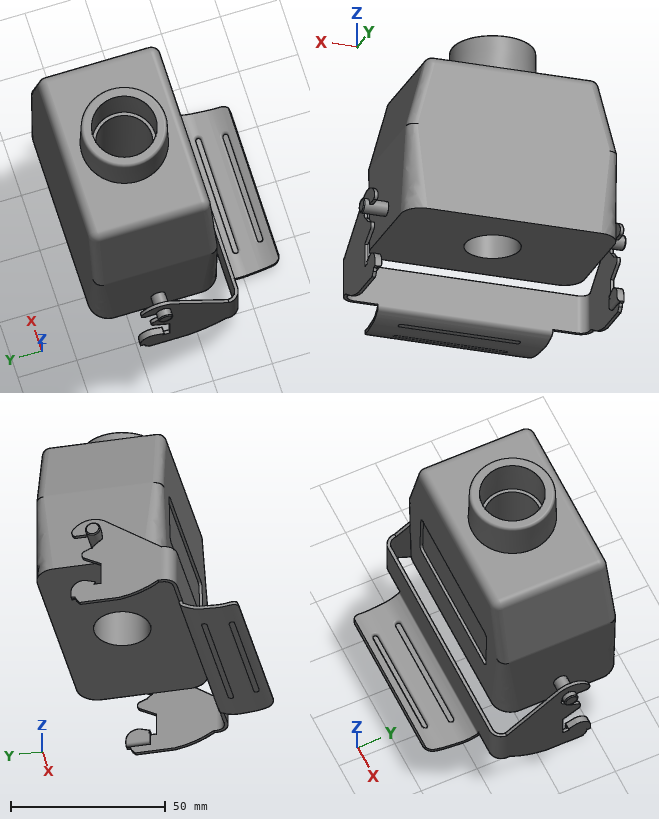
import cadquery as cq
import math

rim_length = 73.3
rim_width = 43.2
shoulder_length = 72.0
shoulder_z = 29.9
roof_z = 55.2
roof_length = 58.5
side_draft = 0.0202
rim_corner_radius = 6.8
edge_radius = 3.0

neck_top_z = 68.9
neck_base_radius = 14.3
neck_top_radius = 13.95
neck_round = 1.0
bore_top_radius = 10.6
bore_bottom_radius = 10.4
bore_depth = neck_top_z - roof_z
through_radius = 9.3

label_length = 50.0
label_height = 18.1
label_z = 23.4
label_depth = 1.0
label_corner_radius = 1.7

pin_length = 90.0
pin_radius = 2.4
pin_chamfer = 0.4
pin_z = 7.9

sheet = 1.2
lever_shift = 0.4
lever_length = 85.4
bend_radius = 4.2
strap_y = -26.5
strap_top_z = -1.0
strap_bottom_z = -14.2
arm_front_y = strap_y + bend_radius
arm_bottom_z = -19.1
throat_y = -2.2
throat_top_z = -4.6
throat_bottom_z = -12.5
upper_hook_mouth_z = 7.65
lower_hook_nose_y = 7.7
hook_lip_y = -0.3
hook_lip_z = -16.4
hook_lip_round = 0.9
hook_lip_height = 9.0
hook_lip_reach = 10.8

handle_root_length = 59.9
handle_tip_length = 56.9
handle_tip_y = -44.4
handle_corner_radius = 3.0
handle_floor_z = -16.8
root_arc_start_y = -28.0
floor_start_y = -32.6
floor_end_y = -37.0
root_arc_radius = 10.3
root_bend_radius = 0.7
tip_arc_radius = 18.0

groove_slot_width = 1.8
groove_depth = 0.9
groove_rim_radius = 0.8
root_groove_y = -31.6
root_groove_length = 41.8
tip_groove_y = -40.1
tip_groove_length = 39.1


def hood_width(z):
    return rim_width - 2 * side_draft * z


def lower_hood():
    """Drafted skirt whose corner radius shrinks from the rim to the shoulder."""
    rim = cq.Sketch().rect(rim_length, rim_width).vertices().fillet(rim_corner_radius)
    shoulder = cq.Sketch().rect(shoulder_length, hood_width(shoulder_z)).vertices().fillet(edge_radius)
    top = shoulder.moved(cq.Location(cq.Vector(0, 0, shoulder_z)))
    return cq.Workplane("XY").placeSketch(rim, top).loft(ruled=True)


def upper_hood():
    """Wedge-shaped top with its sloping and roof edges rounded."""
    wedge = (
        cq.Workplane("XY", origin=(0, 0, shoulder_z))
        .rect(shoulder_length, hood_width(shoulder_z))
        .workplane(offset=roof_z - shoulder_z)
        .rect(roof_length, hood_width(roof_z))
        .loft(ruled=True)
    )
    return wedge.edges("not(<Z)").fillet(edge_radius)


def neck():
    height = neck_top_z - roof_z
    return (
        cq.Workplane("XY", origin=(0, 0, roof_z))
        .circle(neck_base_radius)
        .workplane(offset=height)
        .circle(neck_top_radius)
        .loft()
        .faces(">Z")
        .edges()
        .fillet(neck_round)
    )


def cable_bore():
    """Tapered entry bore ending on a ledge, then a straight hole down through the rim."""
    entry = (
        cq.Workplane("XY", origin=(0, 0, neck_top_z))
        .circle(bore_top_radius)
        .workplane(offset=-bore_depth)
        .circle(bore_bottom_radius)
        .loft()
    )
    through = cq.Workplane("XY").circle(through_radius).extrude(neck_top_z)
    return entry.union(through)


def label_recess():
    """Shallow rounded pocket whose floor is parallel to the leaning face."""
    lean = math.atan(side_draft)
    face_plane = cq.Plane(
        origin=(0, -hood_width(label_z) / 2, label_z),
        xDir=(1, 0, 0),
        normal=(0, -math.cos(lean), math.sin(lean)),
    )
    outline = cq.Sketch().rect(label_length, label_height).vertices().fillet(label_corner_radius)
    floor = cq.Workplane(face_plane).workplane(offset=-label_depth)
    return floor.placeSketch(outline).extrude(2 * label_depth)


def pins():
    bar = cq.Workplane("YZ", origin=(-pin_length / 2, 0, pin_z)).circle(pin_radius).extrude(pin_length)
    return bar.faces("<X or >X").chamfer(pin_chamfer)


def strap():
    """U-shaped band: front wall and its two rounded corners."""
    outer = (
        cq.Workplane("XY", origin=(0, 0, strap_bottom_z))
        .rect(lever_length, -2 * strap_y)
        .extrude(strap_top_z - strap_bottom_z)
        .edges("|Z")
        .fillet(bend_radius)
    )
    inner = (
        cq.Workplane("XY", origin=(0, 0, strap_bottom_z))
        .rect(lever_length - 2 * sheet, -2 * (strap_y + sheet))
        .extrude(strap_top_z - strap_bottom_z)
        .edges("|Z")
        .fillet(bend_radius - sheet)
    )
    keep = (
        cq.Workplane("XY", origin=(0, strap_y, strap_bottom_z))
        .box(lever_length, bend_radius, strap_top_z - strap_bottom_z, centered=(True, False, False))
    )
    return outer.cut(inner).intersect(keep)


def arm_blank(thickness):
    """Side profile of an arm in (Y, Z), with its inner face at X = 0, extruded outward."""
    return (
        cq.Workplane("YZ")
        .moveTo(arm_front_y, strap_top_z)
        .lineTo(-3.2, 12.4)
        .threePointArc((0.8, 13.5), (7.2, 10.1))
        .threePointArc((7.4, 8.55), (6.5, upper_hook_mouth_z))
        .lineTo(pin_radius, upper_hook_mouth_z)
        .threePointArc((0, pin_z + pin_radius), (-pin_radius, pin_z))
        .lineTo(-2.7, 5.8)
        .threePointArc((-2.4, 5.0), (-1.6, 4.5))
        .lineTo(0.9, 2.2)
        .lineTo(3.3, 1.1)
        .threePointArc((4.1, -0.1), (3.2, -1.6))
        .lineTo(throat_y, throat_top_z)
        .lineTo(throat_y, throat_bottom_z)
        .lineTo(0.1, throat_bottom_z)
        .lineTo(hook_lip_y, -11.6)
        .lineTo(3.1, -10.5)
        .threePointArc((6.7, -11.8), (lower_hook_nose_y, -14.6))
        .lineTo(lower_hook_nose_y, hook_lip_z)
        .lineTo(6.5, -16.6)
        .lineTo(6.0, -17.7)
        .lineTo(4.9, arm_bottom_z)
        .lineTo(-8.3, arm_bottom_z)
        .threePointArc((-14.5, -17.55), (-21.15, strap_bottom_z))
        .lineTo(arm_front_y, strap_bottom_z)
        .close()
        .extrude(thickness)
    )


def arm():
    """Arm on the +X side with the inner thickening of its lower hook."""
    plate = arm_blank(sheet)
    lip_zone = (
        cq.Workplane("XY", origin=(0, hook_lip_y, hook_lip_z))
        .box(2 * sheet, hook_lip_reach, hook_lip_height, centered=(True, False, False))
        .edges("<X and <Z")
        .fillet(hook_lip_round)
    )
    lip = arm_blank(2 * sheet).translate((-sheet, 0, 0)).intersect(lip_zone)
    return plate.union(lip).translate((lever_length / 2 - sheet, 0, 0))


def on_arc(centre, radius, sine):
    """Point below an arc centre, at the given sine of the angle from straight down (+ toward +Y)."""
    return (centre[0] + radius * sine, centre[1] - radius * math.sqrt(1 - sine**2))


root_centre = (floor_start_y, handle_floor_z + root_arc_radius)
tip_centre = (floor_end_y, handle_floor_z + tip_arc_radius)
root_sine = (root_arc_start_y - floor_start_y) / root_arc_radius
tip_sine = (handle_tip_y - floor_end_y) / (tip_arc_radius + sheet)


def root_corner(radius, y):
    """Corner where the tangent at the start of the root arc meets the vertical strap face at y."""
    start_y, start_z = on_arc(root_centre, radius, root_sine)
    slope = math.tan(math.asin(root_sine))
    return (y, start_z + slope * (y - start_y))


def handle_sheet():
    """Curved sheet profile, trimmed to the tapered plan outline."""
    under_root = root_arc_radius + sheet
    under_tip = tip_arc_radius + sheet
    upper_corner = root_corner(root_arc_radius, strap_y)
    under_corner = root_corner(under_root, strap_y + sheet)
    profile = (
        cq.Workplane("YZ", origin=(-handle_root_length / 2, 0, 0))
        .moveTo(strap_y, strap_bottom_z)
        .lineTo(*upper_corner)
        .lineTo(*on_arc(root_centre, root_arc_radius, root_sine))
        .threePointArc(
            on_arc(root_centre, root_arc_radius, root_sine / 2), on_arc(root_centre, root_arc_radius, 0)
        )
        .lineTo(*on_arc(tip_centre, tip_arc_radius, 0))
        .threePointArc(
            on_arc(tip_centre, tip_arc_radius, tip_sine / 2), on_arc(tip_centre, tip_arc_radius, tip_sine)
        )
        .lineTo(*on_arc(tip_centre, under_tip, tip_sine))
        .threePointArc(on_arc(tip_centre, under_tip, tip_sine / 2), on_arc(tip_centre, under_tip, 0))
        .lineTo(*on_arc(root_centre, under_root, 0))
        .threePointArc(
            on_arc(root_centre, under_root, root_sine / 2), on_arc(root_centre, under_root, root_sine)
        )
        .lineTo(*under_corner)
        .lineTo(strap_y + sheet, strap_bottom_z)
        .close()
        .extrude(handle_root_length)
        .edges(cq.NearestToPointSelector((0, *upper_corner)))
        .fillet(root_bend_radius)
        .edges(cq.NearestToPointSelector((0, *under_corner)))
        .fillet(root_bend_radius + sheet)
    )
    plan = (
        cq.Workplane("XY", origin=(0, 0, 2 * handle_floor_z))
        .polyline(
            [
                (-handle_root_length / 2, strap_y + sheet),
                (handle_root_length / 2, strap_y + sheet),
                (handle_tip_length / 2, handle_tip_y),
                (-handle_tip_length / 2, handle_tip_y),
            ]
        )
        .close()
        .extrude(-2 * handle_floor_z)
        .edges("|Z and <Y")
        .fillet(handle_corner_radius)
    )
    return profile.intersect(plan)


def add_groove(body, centre, radius, y, length):
    """Cut a blind slot square to the curved upper surface and round its rim."""
    sine = (y - centre[0]) / radius
    surface_y, surface_z = on_arc(centre, radius, sine)
    surface = cq.Plane(
        origin=(0, surface_y, surface_z), xDir=(1, 0, 0), normal=(0, -sine, math.sqrt(1 - sine**2))
    )
    slot = (
        cq.Workplane(surface)
        .workplane(offset=-groove_depth)
        .slot2D(length, groove_slot_width)
        .extrude(2 * groove_depth)
    )
    body = body.cut(slot)

    within = 0.51

    def on_rim(edge):
        place = surface.toLocalCoords(edge.Center())
        inside = abs(place.y) < within * groove_slot_width and abs(place.x) < within * length
        return inside and abs(place.z) < groove_depth / 4

    return body.edges().filter(on_rim).fillet(groove_rim_radius)


def lever():
    handle = handle_sheet()
    handle = add_groove(handle, root_centre, root_arc_radius, root_groove_y, root_groove_length)
    handle = add_groove(handle, tip_centre, tip_arc_radius, tip_groove_y, tip_groove_length)
    body = strap().union(arm()).union(arm().mirror("YZ")).union(handle)
    return body.translate((lever_shift, 0, 0))


def hood_block():
    """Skirt and top joined, with the bend line of each end face rounded."""
    shoulder_zone = cq.selectors.BoxSelector(
        (-rim_length, -0.9, shoulder_z - 0.9), (rim_length, 0.9, shoulder_z + 0.9)
    )
    half_outline = [(rim_length / 2, 0), (shoulder_length / 2, shoulder_z), (roof_length / 2, roof_z)]
    mirrored = [(-x, z) for x, z in reversed(half_outline)]
    rounded_ends = (
        cq.Workplane("XZ")
        .polyline(half_outline + mirrored)
        .close()
        .extrude(rim_width, both=True)
        .edges(shoulder_zone)
        .fillet(edge_radius)
    )
    return lower_hood().union(upper_hood()).intersect(rounded_ends)


hood = hood_block().union(neck()).union(pins())
hood = hood.cut(cable_bore()).cut(label_recess())
result = hood.union(lever())